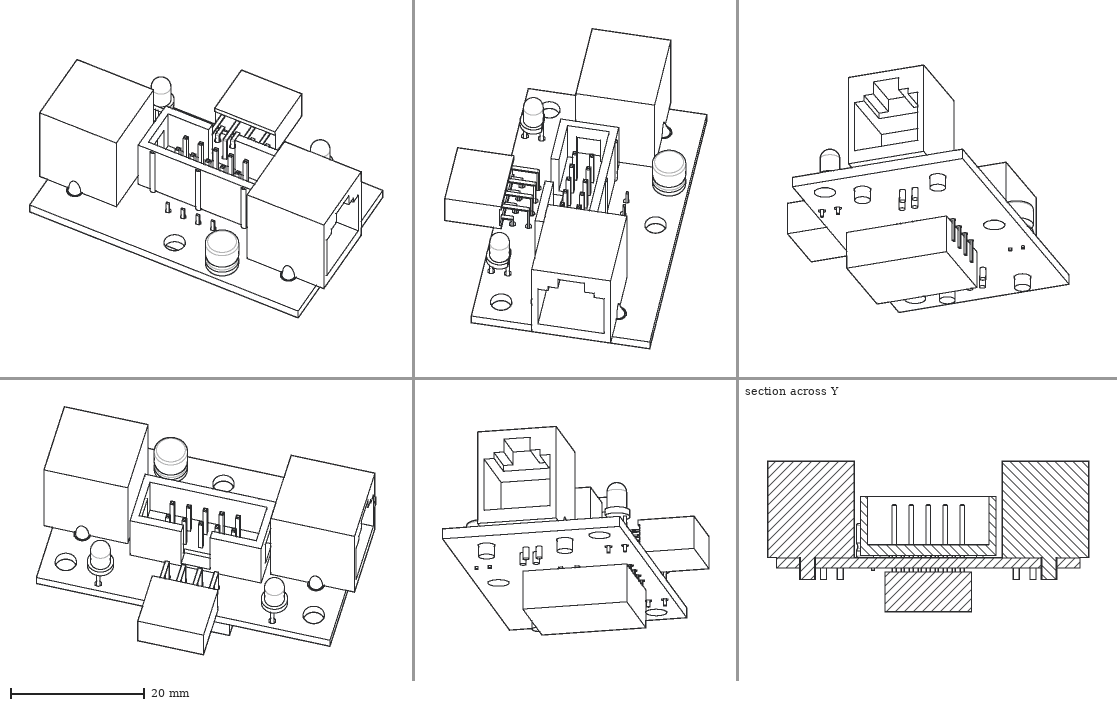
import cadquery as cq

BOARD_WIDTH = 45.5
BOARD_DEPTH = 27.25
BOARD_THICKNESS = 1.6
MOUNT_HOLE_DIAMETER = 3.2
MOUNT_HOLE_CENTRES = [(-19.2, 9.75), (19.2, 9.75), (0, -10.15)]

PITCH = 2.54
HALF_PITCH = PITCH / 2
ROW_OF_FOUR = [(i - 1.5) * PITCH for i in range(4)]
ROW_OF_FIVE = [(i - 2) * PITCH for i in range(5)]

OVERALL_WIDTH = 48.15
JACK_LENGTH = 13
JACK_WIDTH = 12.05
JACK_HEIGHT = 14.45
JACK_Y = -1.9
JACK_X = -OVERALL_WIDTH / 2 + JACK_LENGTH / 2
JACK_FLOOR = 2.0
JACK_BACK_WALL = 1.45
JACK_OPENING_WIDTH = 10.1
JACK_OPENING_TOP = 10.05
LATCH_SLOT_STEPS = [(7.05, 11.0), (4.05, 13)]
LATCH_SLOT_DEPTH = 6.4
PEG_DIAMETER = 2.35
PEG_HOLE_DIAMETER = 2.5
PEG_TOP_DIAMETER = 2.0
PEG_X = -18.1
JACK_TAIL_END = -3.3
JACK_PIN_DIAMETER = 0.9
JACK_PIN_PITCH = 1.0
JACK_PIN_ROWS = (-15.7, -13.2)

HEADER_LENGTH = 20.3
HEADER_WIDTH = 8.85
HEADER_Y = 1.85
HEADER_BOTTOM = 0.3
HEADER_TOP = 9.15
HEADER_FLOOR = 1.95
CAVITY_LENGTH = 18.15
CAVITY_WIDTH = 6.35
KEY_WIDTH = 4.5
KEY_REACH = 2.0
KEY_FLOOR = 0.95
HEADER_PIN_SIZE = 0.65
HEADER_PIN_TIP = 0.15
HEADER_PIN_TOP = 7.95
RIB_DIAMETER = 1.0
RIB_PROTRUSION = 0.25
RIB_SPACING = 7.7
RIB_TOP = 8.8
WINDOW_WIDTH = 3.65
WINDOW_TOP = 6.75

LED_X = 13.5
LED_Y = 11.07
LED_DIAMETER = 3.0
LED_FLANGE_DIAMETER = 3.95
LED_BOTTOM = 3.05
LED_FLANGE_TOP = 4.0
LED_TOP = 8.4
LED_LEG_DIAMETER = 0.5
LED_LEG_HOLE_DIAMETER = 1.0
LED_LEG_END = -2.5

CAP_X = 8.3
CAP_Y = -10.65
CAP_DIAMETER = 5.0
CAP_HEIGHT = 5.1
CAP_TOP_ROUND = 0.35
CAP_BOTTOM_ROUND = 0.25
CAP_GROOVE_DEPTH = 0.2
CAP_SHOULDER_DEPTH = 0.15
CAP_GROOVE_HEIGHTS = (1.0, 1.35, 1.7, 2.15)
CAP_PIN_DIAMETER = 0.5
CAP_PIN_SPACING = 2.0
CAP_PIN_END = -1.95

PLUG_WIDTH = 10.2
PLUG_FRONT = 12.4
PLUG_REAR = 21.05
PLUG_HEIGHT = 5.1
PLUG_RECESS_DEPTH = 0.25
PLUG_RECESS_HEIGHTS = (0.75, 4.35)
PLUG_PIN_WIDTH = 0.65
PLUG_PIN_THICKNESS = 0.25
PLUG_PIN_BEND_RADIUS = 0.2
PLUG_PIN_HOLE_DIAMETER = 0.9
PLUG_PIN_BENDS = [(8.4, 3.95), (10.85, 1.4)]

BOX_WIDTH = 13
BOX_REAR = 11.05
BOX_FRONT = -4.95
BOX_TOP = -2.15
BOX_BOTTOM = -8.15
BOX_PIN_WIDTH = 0.5
BOX_PIN_THICKNESS = 0.3
BOX_PIN_HEIGHTS = (-5.1, 1.9)
BOX_PIN_HOLE_DIAMETER = 0.8


def block(x_range, y_range, z_range):
    """A box between the given limits along each axis."""
    sizes = [high - low for low, high in (x_range, y_range, z_range)]
    return cq.Workplane("XY").box(*sizes, centered=False).translate((x_range[0], y_range[0], z_range[0]))


def centred(middle, size):
    """The limits of a span of the given size around its middle."""
    return middle - size / 2, middle + size / 2


def rods(points, diameter, bottom, top):
    """Upright cylinders at the given points."""
    return cq.Workplane("XY").workplane(offset=bottom).pushPoints(points).circle(diameter / 2).extrude(top - bottom)



def jack_peg_centres():
    return [(PEG_X, JACK_Y + side * JACK_WIDTH / 2) for side in (-1, 1)]


def jack_pin_points():
    """Four pins, alternating between two rows."""
    return [(JACK_PIN_ROWS[i % 2], JACK_Y + (i - 1.5) * JACK_PIN_PITCH) for i in range(4)]


def leaning_peg_top(side):
    """The part of a peg above the board, leaning into the jack's side."""
    peg_x, peg_y = PEG_X, JACK_Y + side * JACK_WIDTH / 2
    radius = PEG_TOP_DIAMETER / 2
    return (
        cq.Workplane("XY").center(peg_x, peg_y).circle(radius)
        .workplane(offset=JACK_FLOOR).center(0, -side * radius).circle(radius)
        .loft(ruled=True)
    )


def make_left_jack():
    outer_end = JACK_X - JACK_LENGTH / 2
    inner_end = JACK_X + JACK_LENGTH / 2
    jack = block((outer_end, inner_end), centred(JACK_Y, JACK_WIDTH), (0, JACK_HEIGHT))
    opening_heights = (JACK_FLOOR, JACK_OPENING_TOP)
    opening_reach = (outer_end, inner_end - JACK_BACK_WALL)
    jack = jack.cut(block(opening_reach, centred(JACK_Y, JACK_OPENING_WIDTH), opening_heights))
    for width, top in LATCH_SLOT_STEPS:
        slot_reach = (outer_end, outer_end + LATCH_SLOT_DEPTH)
        jack = jack.cut(block(slot_reach, centred(JACK_Y, width), (JACK_FLOOR, top)))
    for side in (-1, 1):
        jack = jack.union(leaning_peg_top(side))
    jack = jack.union(rods(jack_peg_centres(), PEG_DIAMETER, JACK_TAIL_END, 0))
    return jack.union(rods(jack_pin_points(), JACK_PIN_DIAMETER, JACK_TAIL_END, 0))


def turned_to_right(shape):
    """Half a turn about the upright line through the middle between the jacks."""
    return shape.rotate((0, JACK_Y, 0), (0, JACK_Y, 1), 180)



def header_pin_points():
    return [(x, HEADER_Y + row * HALF_PITCH) for row in (-1, 1) for x in ROW_OF_FIVE]


def make_header():
    heights = (HEADER_BOTTOM, HEADER_TOP)
    rear = HEADER_Y + HEADER_WIDTH / 2
    front = HEADER_Y - HEADER_WIDTH / 2
    shroud = block(centred(0, HEADER_LENGTH), (front, rear), heights)
    cavity_heights = (HEADER_FLOOR, HEADER_TOP)
    shroud = shroud.cut(block(centred(0, CAVITY_LENGTH), centred(HEADER_Y, CAVITY_WIDTH), cavity_heights))
    shroud = shroud.cut(block(centred(0, KEY_WIDTH), (rear - KEY_REACH, rear), (KEY_FLOOR, HEADER_TOP)))

    rib_y = front - RIB_PROTRUSION + RIB_DIAMETER / 2
    ribs = rods([(i * RIB_SPACING, rib_y) for i in (-1, 0, 1)], RIB_DIAMETER, 0, RIB_TOP)
    shroud = shroud.union(ribs)

    window = block(centred(0, HEADER_LENGTH), centred(HEADER_Y, WINDOW_WIDTH), (HEADER_FLOOR, WINDOW_TOP))
    shroud = shroud.cut(window)

    pins = (
        cq.Workplane("XY").workplane(offset=BOX_TOP).pushPoints(header_pin_points())
        .rect(HEADER_PIN_SIZE, HEADER_PIN_SIZE).extrude(HEADER_PIN_TOP - BOX_TOP)
        .faces(">Z").chamfer(HEADER_PIN_TIP)
    )
    return shroud.union(pins)



def led_leg_points(x):
    return [(x, LED_Y + side * HALF_PITCH) for side in (-1, 1)]


def make_led(x):
    radius = LED_DIAMETER / 2
    lens = rods([(x, LED_Y)], LED_DIAMETER, LED_BOTTOM, LED_TOP - radius)
    lens = lens.union(cq.Workplane("XY").sphere(radius).translate((x, LED_Y, LED_TOP - radius)))
    flange = rods([(x, LED_Y)], LED_FLANGE_DIAMETER, LED_BOTTOM, LED_FLANGE_TOP)
    kept = block(
        centred(x, LED_FLANGE_DIAMETER),
        (LED_Y - radius, LED_Y + LED_FLANGE_DIAMETER),
        (LED_BOTTOM, LED_FLANGE_TOP),
    )
    legs = rods(led_leg_points(x), LED_LEG_DIAMETER, LED_LEG_END, LED_BOTTOM)
    return lens.union(flange.intersect(kept)).union(legs)



def cap_pin_points():
    return [(CAP_X, CAP_Y + side * CAP_PIN_SPACING / 2) for side in (-1, 1)]


def make_capacitor():
    radius = CAP_DIAMETER / 2
    groove_bottom, shoulder_start, groove_middle, groove_top = CAP_GROOVE_HEIGHTS
    profile = (
        cq.Workplane("XZ").lineTo(radius, 0).lineTo(radius, groove_bottom)
        .lineTo(radius - CAP_SHOULDER_DEPTH, shoulder_start)
        .threePointArc((radius - CAP_GROOVE_DEPTH, groove_middle), (radius, groove_top))
        .lineTo(radius, CAP_HEIGHT).lineTo(0, CAP_HEIGHT).close()
    )
    can = profile.revolve(360, (0, 0), (0, 1))
    can = can.faces(">Z").edges().fillet(CAP_TOP_ROUND)
    can = can.faces("<Z").edges().fillet(CAP_BOTTOM_ROUND)
    can = can.translate((CAP_X, CAP_Y, 0))
    return can.union(rods(cap_pin_points(), CAP_PIN_DIAMETER, CAP_PIN_END, 0))



def plug_pin_points():
    return [(x, front + PLUG_PIN_THICKNESS / 2) for front, _ in PLUG_PIN_BENDS for x in ROW_OF_FOUR]


def make_plug():
    plug = block(centred(0, PLUG_WIDTH), (PLUG_FRONT, PLUG_REAR), (0, PLUG_HEIGHT))
    recess_back = PLUG_FRONT + PLUG_RECESS_DEPTH
    plug = plug.cut(block(centred(0, PLUG_WIDTH), (PLUG_FRONT, recess_back), PLUG_RECESS_HEIGHTS))
    for front, top in PLUG_PIN_BENDS:
        bent_strip = [
            (recess_back, top), (front, top), (front, BOX_TOP), (front + PLUG_PIN_THICKNESS, BOX_TOP),
            (front + PLUG_PIN_THICKNESS, top - PLUG_PIN_THICKNESS), (recess_back, top - PLUG_PIN_THICKNESS),
        ]
        pin = (
            cq.Workplane("YZ").polyline(bent_strip).close().extrude(PLUG_PIN_WIDTH / 2, both=True)
            .edges("|X and >Z and <Y").fillet(PLUG_PIN_BEND_RADIUS)
        )
        for x in ROW_OF_FOUR:
            plug = plug.union(pin.translate((x, 0, 0)))
    return plug



def make_box_connector():
    connector = block(centred(0, BOX_WIDTH), (BOX_FRONT, BOX_REAR), (BOX_BOTTOM, BOX_TOP))
    for x in ROW_OF_FOUR:
        pin_depths = (BOX_FRONT - BOX_PIN_THICKNESS, BOX_FRONT)
        connector = connector.union(block(centred(x, BOX_PIN_WIDTH), pin_depths, BOX_PIN_HEIGHTS))
    return connector



def make_board():
    heights = (-BOARD_THICKNESS, 0)
    board = block(centred(0, BOARD_WIDTH), centred(0, BOARD_DEPTH), heights)
    jack_holes = rods(jack_peg_centres(), PEG_HOLE_DIAMETER, *heights)
    jack_holes = jack_holes.add(rods(jack_pin_points(), JACK_PIN_DIAMETER, *heights)).combine()
    header_holes = (
        cq.Workplane("XY").pushPoints(header_pin_points())
        .rect(HEADER_PIN_SIZE, HEADER_PIN_SIZE).extrude(-BOARD_THICKNESS)
    )
    led_points = led_leg_points(-LED_X) + led_leg_points(LED_X)
    holes = [
        rods(MOUNT_HOLE_CENTRES, MOUNT_HOLE_DIAMETER, *heights),
        jack_holes,
        turned_to_right(jack_holes),
        header_holes,
        rods(led_points, LED_LEG_HOLE_DIAMETER, *heights),
        rods(cap_pin_points(), CAP_PIN_DIAMETER, *heights),
        rods(plug_pin_points(), PLUG_PIN_HOLE_DIAMETER, *heights),
        rods([(x, BOX_FRONT) for x in ROW_OF_FOUR], BOX_PIN_HOLE_DIAMETER, *heights),
    ]
    for hole in holes:
        board = board.cut(hole)
    return board


board = make_board()
left_jack = make_left_jack()
right_jack = turned_to_right(left_jack)
header = make_header()
leds = [make_led(x) for x in (-LED_X, LED_X)]
capacitor = make_capacitor()
plug = make_plug()
box_connector = make_box_connector()

result = cq.Compound.makeCompound([
    board.val(),
    left_jack.val(),
    right_jack.val(),
    header.val(),
    *[led.val() for led in leds],
    capacitor.val(),
    plug.val(),
    box_connector.val(),
])